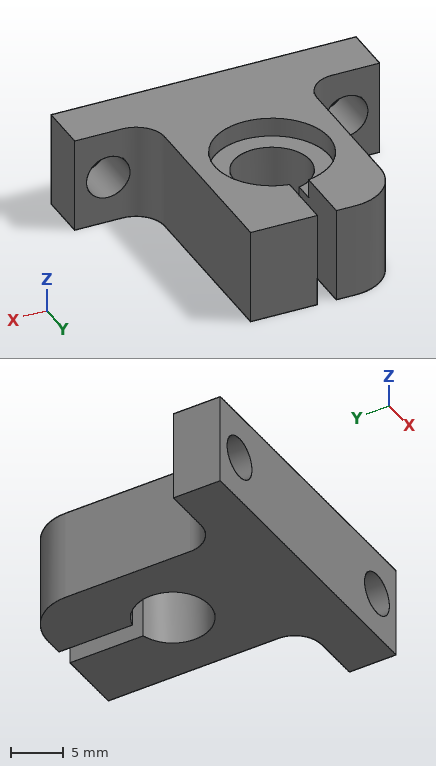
import cadquery as cq

base_length = 32.0
depth = 27.0
thickness = 10.0
base_depth = 5.2
upright_width = base_length / 2
inner_fillet_radius = 3.0
corner_radius = 5.0

bore_diameter = base_length / 4
counterbore_diameter = 1.5 * bore_diameter
counterbore_depth = 2.0
bore_height = 15.0
slot_width = 2.0

mount_hole_diameter = 4.5
mount_hole_spacing = 25.0


def make_body():
    """T-shaped block with its mounting face on Y = 0 and its underside on Z = 0."""
    base = cq.Workplane("XY").box(base_length, base_depth, thickness, centered=(True, False, False))
    upright = cq.Workplane("XY").box(upright_width, depth, thickness, centered=(True, False, False))
    body = base.union(upright)
    for side in (-1, 1):
        inner_corner = (side * upright_width / 2, base_depth, thickness / 2)
        body = body.edges(cq.NearestToPointSelector(inner_corner)).fillet(inner_fillet_radius)
    outer_corner = (-upright_width / 2, depth, thickness / 2)
    return body.edges(cq.NearestToPointSelector(outer_corner)).fillet(corner_radius)


def cut_shaft_bore(body):
    """Through bore with a counterbore in the upper face."""
    return (
        body.faces(">Z")
        .workplane(origin=(0, bore_height, thickness))
        .cboreHole(bore_diameter, counterbore_diameter, counterbore_depth)
    )


def cut_clamp_slot(body):
    """Slot from the bore axis out through the far end of the upright."""
    slot = (
        cq.Workplane("XY")
        .box(slot_width, depth - bore_height, thickness, centered=(True, False, False))
        .translate((0, bore_height, 0))
    )
    return body.cut(slot)


def cut_mount_holes(body):
    """Pair of holes along Y through the base, at mid thickness."""
    half_spacing = mount_hole_spacing / 2
    holes = (
        cq.Workplane("XZ", origin=(0, 0, thickness / 2))
        .pushPoints([(-half_spacing, 0), (half_spacing, 0)])
        .circle(mount_hole_diameter / 2)
        .extrude(-depth)
    )
    return body.cut(holes)


result = cut_mount_holes(cut_clamp_slot(cut_shaft_bore(make_body())))